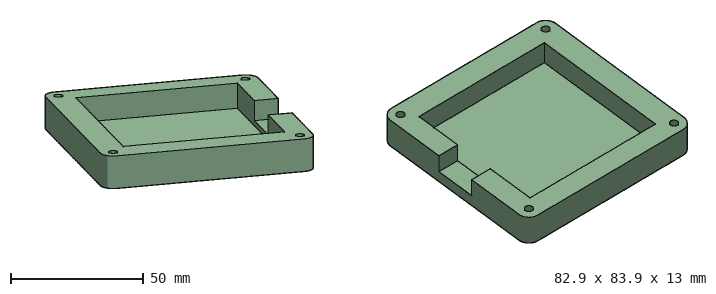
import cadquery as cq

width = 82.9
length = 83.9
height = 13.0
corner_radius = 5.0

pocket_width = 63.0
pocket_length = 63.8
left_wall = 9.3
back_wall = 9.5
pocket_depth = 10.0

notch_width = 18.5
notch_offset = 31.9
notch_depth = 8.0

hole_diameter = 3.4

left = -width / 2
back = length / 2


def cut_from_top(x_min, y_max, size_x, size_y, depth):
    """Box reaching down from the top face, placed by its back left corner."""
    return cq.Workplane("XY").box(size_x, size_y, depth, centered=False).translate(
        (x_min, y_max - size_y, height - depth)
    )


body = cq.Workplane("XY").box(width, length, height, centered=(True, True, False))
body = body.edges("|Z").fillet(corner_radius)

pocket = cut_from_top(left + left_wall, back - back_wall, pocket_width, pocket_length, pocket_depth)
notch = cut_from_top(left + notch_offset, back, notch_width, back_wall, notch_depth)

holes = (
    cq.Workplane("XY")
    .rect(width - 2 * corner_radius, length - 2 * corner_radius, forConstruction=True)
    .vertices()
    .circle(hole_diameter / 2)
    .extrude(height)
)

result = body.cut(pocket).cut(notch).cut(holes)